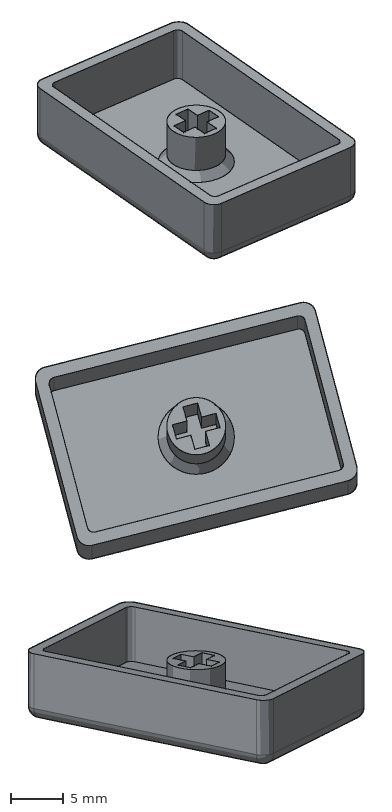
import cadquery as cq

length = 27.57
width = 18.03
height = 6.7
tilt = -0.62
wall = 1.2
floor = 1.2
outer_radius = 1.2
inner_radius = 0.6

stem_diameter = 5.6
stem_top = height - 0.92
foot_height = 0.83
foot_diameter = stem_diameter + 2 * foot_height
cross_length = 4.3
cross_width = 1.45


def rounded_block(x_size, y_size, z_size, corner_radius):
    """Block standing on Z = 0 with rounded vertical edges."""
    block = cq.Workplane("XY").box(x_size, y_size, z_size, centered=(True, True, False))
    return block.edges("|Z").fillet(corner_radius)


def make_tray():
    """Open box with a rounded lower edge."""
    body = rounded_block(length, width, height, outer_radius).faces("<Z").edges().fillet(outer_radius)
    cavity = rounded_block(length - 2 * wall, width - 2 * wall, height - floor, inner_radius)
    tray = body.cut(cavity.translate((0, 0, floor)))
    return tray.rotate((0, 0, 0), (0, 0, 1), tilt)


def make_stem():
    """Round stem rising from the tray floor on a conical foot."""
    return (
        cq.Workplane("XZ")
        .moveTo(0, floor)
        .lineTo(foot_diameter / 2, floor)
        .lineTo(stem_diameter / 2, floor + foot_height)
        .lineTo(stem_diameter / 2, stem_top)
        .lineTo(0, stem_top)
        .close()
        .revolve(360, (0, 0, 0), (0, 1, 0))
    )


def make_socket():
    """Cross aligned with X and Y, reaching from the stem top to the tray floor."""
    plane = cq.Workplane("XY").workplane(offset=floor)
    depth = stem_top - floor
    along_x = plane.rect(cross_length, cross_width).extrude(depth)
    along_y = plane.rect(cross_width, cross_length).extrude(depth)
    return along_x.union(along_y)


result = make_tray().union(make_stem()).cut(make_socket())